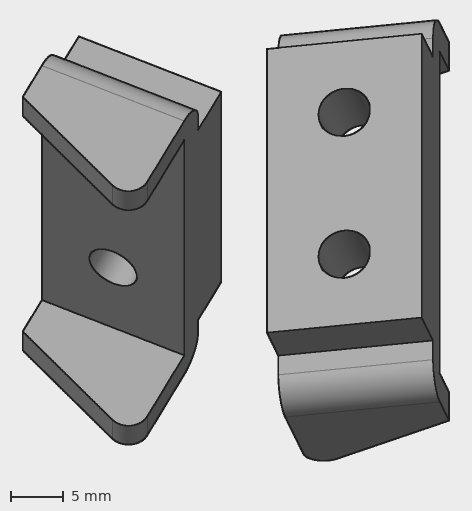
import cadquery as cq
import math

width = 15.0
depth = 18.0
height = 40.0

wall = 3.0
bend_radius = 3.0
block_depth = 5.0
block_height = 30.0
hole_diameter = 5.0
hole_spacing = 15.0

slope_angle = math.radians(25)
nose_radius = 2.0

web_back = depth - block_depth
web_front = web_back - wall


def make_channel():
    """C-shaped channel, open to the front, with rounded outer bends."""
    outer = (
        cq.Workplane("XY")
        .box(width, web_back, height, centered=(True, False, True))
        .edges("|X and >Y")
        .fillet(bend_radius)
    )
    opening = cq.Workplane("XY").box(
        width, web_front, height - 2 * wall, centered=(True, False, True)
    )
    return outer.cut(opening)


def make_top_outline():
    """Prism whose outline shapes both flanges; its front edge lies at Y = 0."""
    center_x = width / 2 - nose_radius
    center_y = nose_radius
    tangent_x = center_x - nose_radius * math.sin(slope_angle)
    tangent_y = center_y - nose_radius * math.cos(slope_angle)
    slope_start_y = tangent_y + (tangent_x + width / 2) * math.tan(slope_angle)
    return (
        cq.Workplane("XY")
        .workplane(offset=-height / 2)
        .moveTo(-width / 2, depth)
        .lineTo(-width / 2, slope_start_y)
        .lineTo(tangent_x, tangent_y)
        .threePointArc((center_x, center_y - nose_radius), (width / 2, center_y))
        .lineTo(width / 2, depth)
        .close()
        .extrude(height)
    )


def make_block():
    """Mounting block on the back of the web."""
    return (
        cq.Workplane("XY")
        .box(width, block_depth, block_height, centered=(True, False, True))
        .translate((0, web_back, 0))
    )


def make_holes():
    """Two through holes along Y, one above the other."""
    return (
        cq.Workplane("XZ")
        .pushPoints([(0, -hole_spacing / 2), (0, hole_spacing / 2)])
        .circle(hole_diameter / 2)
        .extrude(-depth)
    )


result = make_channel().intersect(make_top_outline()).union(make_block()).cut(make_holes())